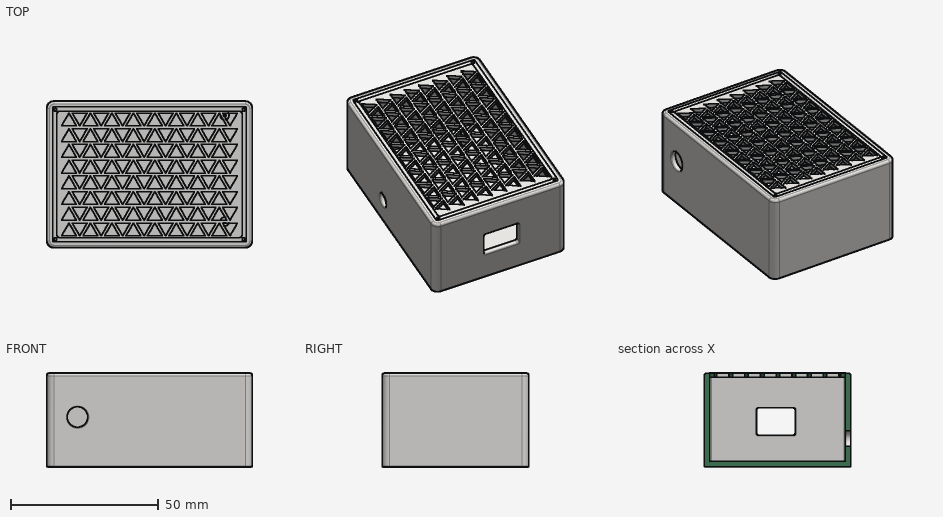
import cadquery as cq
import math

LENGTH = 70.0
WIDTH = 50.0
HEIGHT = 32.0
WALL = 2.0
CORNER_RADIUS = 2.5
TOP_ROUND = 1.0
BOTTOM_ROUND = 0.5

OPENING_ROUND = 0.3
WINDOW_WIDTH = 13.15
WINDOW_HEIGHT = 9.25
WINDOW_CORNER_RADIUS = 0.7
WINDOW_Y = -0.55
WINDOW_Z = 15.5
FRONT_HOLE_DIAMETER = 7.0
FRONT_HOLE_X = -24.5
FRONT_HOLE_Z = 17.0
BACK_HOLE_DIAMETER = 5.2
BACK_HOLE_X = 5.25
BACK_HOLE_Z = 9.65

POST_DIAMETER = 3.0
POST_HOLE_DIAMETER = 1.0
POST_HEIGHT = 5.0
POST_X = 25.55
POST_YS = (20.1, -16.0)

LID_THICKNESS = 1.5
FRAME_BAND = 1.5
SCREW_HOLE_DIAMETER = 1.0
SCREW_HOLE_INSET = 1.0
GRILLE_CORNER_RADIUS = 1.0

VENT_SIDE = 5.05
VENT_RIB = 1.0
VENT_COLUMNS = 16
VENT_ROWS = 8

CAVITY_LENGTH = LENGTH - 2 * WALL
CAVITY_WIDTH = WIDTH - 2 * WALL
CAVITY_CORNER_RADIUS = CORNER_RADIUS - WALL
GRILLE_LENGTH = CAVITY_LENGTH - 2 * FRAME_BAND
GRILLE_WIDTH = CAVITY_WIDTH - 2 * FRAME_BAND
LID_BOTTOM = HEIGHT - LID_THICKNESS
VENT_HEIGHT = VENT_SIDE * math.sin(math.radians(60))
VENT_COLUMN_PITCH = VENT_SIDE / 2 + VENT_RIB / math.sin(math.radians(60))
VENT_ROW_PITCH = VENT_HEIGHT + VENT_RIB


def rounded_block(length, width, height, radius, bottom):
    """Upright block centred on the Z axis, with rounded vertical edges."""
    return (
        cq.Workplane("XY", origin=(0, 0, bottom))
        .rect(length, width)
        .extrude(height)
        .edges("|Z")
        .fillet(radius)
    )


def window_cutter():
    """Rounded rectangular opening through the -X wall."""
    return (
        cq.Workplane("YZ", origin=(-LENGTH / 2, WINDOW_Y, WINDOW_Z))
        .rect(WINDOW_WIDTH, WINDOW_HEIGHT)
        .extrude(WALL)
        .edges("|X")
        .fillet(WINDOW_CORNER_RADIUS)
    )


def round_cutter(diameter, x, wall_outer_y, z, inward):
    """Round opening through a wall; inward is the Y direction into the box."""
    direction = cq.Vector(0, inward, 0)
    return cq.Workplane(cq.Solid.makeCylinder(diameter / 2, WALL, cq.Vector(x, wall_outer_y, z), direction))


def cut_rounded_opening(shell, cutter):
    """Cut an opening through a wall and round its rim on both wall faces."""
    cutter_box = cutter.val().BoundingBox()
    margin = OPENING_ROUND / 2
    rim_zone = cq.selectors.BoxSelector(
        (cutter_box.xmin - margin, cutter_box.ymin - margin, cutter_box.zmin - margin),
        (cutter_box.xmax + margin, cutter_box.ymax + margin, cutter_box.zmax + margin),
        boundingbox=True,
    )
    wall_axis = "X" if cutter_box.xlen < cutter_box.ylen else "Y"
    return shell.cut(cutter).edges(rim_zone).edges("not |" + wall_axis).fillet(OPENING_ROUND)


def floor_posts():
    """Two drilled posts rising from the floor near the +X wall."""
    return (
        cq.Workplane("XY", origin=(0, 0, WALL))
        .pushPoints([(POST_X, y) for y in POST_YS])
        .circle(POST_DIAMETER / 2)
        .circle(POST_HOLE_DIAMETER / 2)
        .extrude(POST_HEIGHT)
    )


def make_housing():
    """Open-topped box with its wall openings and floor posts."""
    block = rounded_block(LENGTH, WIDTH, HEIGHT, CORNER_RADIUS, 0)
    block = block.faces(">Z").edges().fillet(TOP_ROUND)
    block = block.faces("<Z").edges().fillet(BOTTOM_ROUND)
    cavity = rounded_block(CAVITY_LENGTH, CAVITY_WIDTH, HEIGHT - WALL, CAVITY_CORNER_RADIUS, WALL)
    shell = block.cut(cavity)
    front_hole = round_cutter(FRONT_HOLE_DIAMETER, FRONT_HOLE_X, -WIDTH / 2, FRONT_HOLE_Z, 1)
    back_hole = round_cutter(BACK_HOLE_DIAMETER, BACK_HOLE_X, WIDTH / 2, BACK_HOLE_Z, -1)
    for cutter in (window_cutter(), front_hole, back_hole):
        shell = cut_rounded_opening(shell, cutter)
    return shell.union(floor_posts())


def grille_blank():
    """Solid plate that fills the opening of the frame."""
    return rounded_block(GRILLE_LENGTH, GRILLE_WIDTH, LID_THICKNESS, GRILLE_CORNER_RADIUS, LID_BOTTOM)


def make_frame():
    """Ring fitted inside the housing rim, with a screw hole in each corner."""
    plate = rounded_block(CAVITY_LENGTH, CAVITY_WIDTH, LID_THICKNESS, CAVITY_CORNER_RADIUS, LID_BOTTOM)
    screw_holes = (
        cq.Workplane("XY", origin=(0, 0, LID_BOTTOM))
        .rect(CAVITY_LENGTH - 2 * SCREW_HOLE_INSET, CAVITY_WIDTH - 2 * SCREW_HOLE_INSET, forConstruction=True)
        .vertices()
        .circle(SCREW_HOLE_DIAMETER / 2)
        .extrude(LID_THICKNESS)
    )
    return plate.cut(grille_blank()).cut(screw_holes)


def vent_outline(x, y, direction):
    """Corners of a triangle centred on its height at (x, y); direction 1 points to +Y, -1 to -Y."""
    base_y = y - direction * VENT_HEIGHT / 2
    tip_y = y + direction * VENT_HEIGHT / 2
    return [(x - VENT_SIDE / 2, base_y), (x + VENT_SIDE / 2, base_y), (x, tip_y)]


def make_grille():
    """Plate pierced by rows of alternately pointing triangular vents."""
    vents = cq.Workplane("XY", origin=(0, 0, LID_BOTTOM))
    for row in range(VENT_ROWS):
        y = (row - (VENT_ROWS - 1) / 2) * VENT_ROW_PITCH
        for column in range(VENT_COLUMNS):
            x = (column - (VENT_COLUMNS - 1) / 2) * VENT_COLUMN_PITCH
            direction = 1 if column % 2 == 0 else -1
            vents = vents.polyline(vent_outline(x, y, direction)).close()
    return grille_blank().cut(vents.extrude(LID_THICKNESS))


housing = make_housing()
frame = make_frame()
grille = make_grille()

result = cq.Compound.makeCompound([housing.val(), frame.val(), grille.val()])